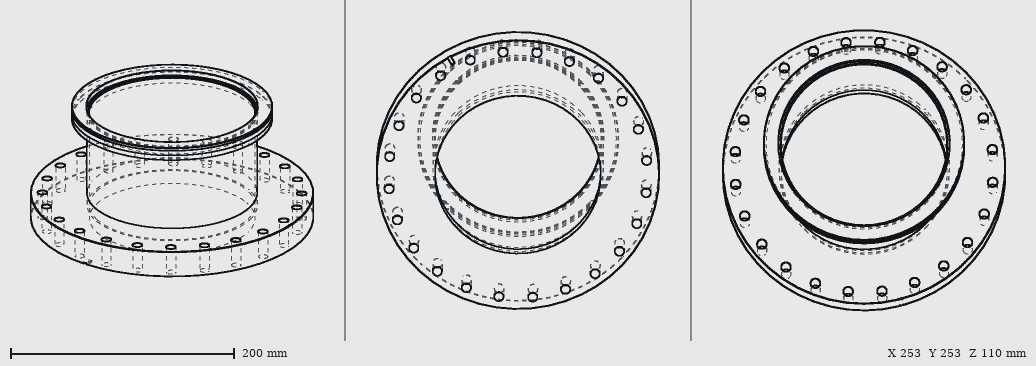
import cadquery as cq

total_height = 110.0
edge_break = 0.3

tube_radius = 76.2
bore_radius = 74.2

base_radius = 126.5
base_thickness = 24.5
base_chamfer = 0.5
tube_seat_height = 12.7
bolt_count = 24
bolt_circle_radius = 116.0
bolt_hole_diameter = 8.4
bolt_pitch_angle = 360 / bolt_count

leak_groove_width = 3.3
leak_groove_height = 1.5
leak_groove_length = 7.5
leak_groove_angle = 270 - bolt_pitch_angle / 2

clamp_radius = 90.0
clamp_thickness = 12.0
clamp_chamfer = 0.5
clamp_bottom = total_height - clamp_thickness
groove_radius = 2.3
groove_depth = 2.0
groove_height = total_height - 5.0
recess_radius = 76.7
recess_depth = 4.8
lip_thickness = 1.5
lip_radius = 75.0
tube_top = total_height - recess_depth - lip_thickness


def disc(radius, bottom, top):
    return cq.Workplane("XY").workplane(offset=bottom).circle(radius).extrude(top - bottom)


def make_base_flange():
    flange = disc(base_radius, 0, base_thickness).edges().chamfer(base_chamfer)
    bolt_holes = (
        cq.Workplane("XY")
        .polarArray(bolt_circle_radius, 0, 360, bolt_count)
        .circle(bolt_hole_diameter / 2)
        .extrude(base_thickness)
    )
    flange = flange.cut(bolt_holes)
    flange = flange.faces(">Z").edges(cq.selectors.RadiusNthSelector(0)).chamfer(edge_break)
    flange = flange.cut(disc(bore_radius, 0, base_thickness))
    flange = flange.cut(disc(tube_radius, tube_seat_height, base_thickness))
    leak_groove = (
        cq.Workplane("XY")
        .box(leak_groove_length, leak_groove_width, leak_groove_height, centered=(False, True, False))
        .translate((base_radius - leak_groove_length, 0, 0))
        .rotate((0, 0, 0), (0, 0, 1), leak_groove_angle)
    )
    return flange.cut(leak_groove)


def make_tube():
    return disc(tube_radius, tube_seat_height, tube_top).cut(disc(bore_radius, tube_seat_height, tube_top))


def make_clamp_flange():
    flange = disc(clamp_radius, clamp_bottom, total_height).faces(">Z").chamfer(clamp_chamfer)
    groove_centre_radius = clamp_radius - groove_depth + groove_radius
    rim_groove = (
        cq.Workplane("XZ")
        .center(groove_centre_radius, groove_height)
        .circle(groove_radius)
        .revolve(360, (-groove_centre_radius, 0), (-groove_centre_radius, 1))
    )
    flange = flange.cut(rim_groove)
    flange = flange.cut(disc(recess_radius, total_height - recess_depth, total_height))
    flange = flange.faces(">Z").edges(cq.selectors.RadiusNthSelector(0)).chamfer(edge_break)
    flange = flange.cut(disc(lip_radius, clamp_bottom, total_height))
    return flange.cut(disc(tube_radius, clamp_bottom, tube_top))


base_flange = make_base_flange()
tube = make_tube()
clamp_flange = make_clamp_flange()

result = cq.Compound.makeCompound([base_flange.val(), tube.val(), clamp_flange.val()])